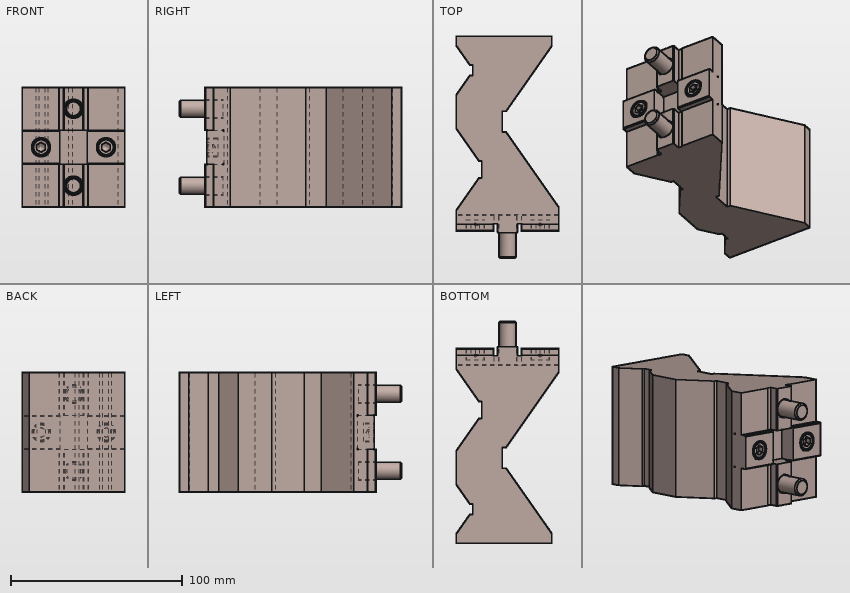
import cadquery as cq
import math

WIDTH = 60.0
HEIGHT = 70.0
BODY_LENGTH = 115.0
FAR_END_X = 26.0
HALF_WIDTH = WIDTH / 2

V_HALF_ANGLE = 55.0
SMALL_V = {"center": 95.0, "half_opening": 14.4, "groove_half_width": 3.0, "depth": 9.6}
LARGE_V = {"center": 37.0, "half_opening": 23.9, "groove_half_width": 5.0, "depth": 15.0}
WIDE_V = {"center": 65.0, "half_opening": 50.0, "groove_half_width": 6.0, "depth": 33.0}

KEY_WIDTH = 12.0
KEY_HEIGHT = 5.0
KEY_CHAMFER = 0.5
RELIEF_HALF_WIDTH = 8.7
RELIEF_DEPTH = 0.4

SLOT_WIDTH = 20.0
SLOT_DEPTH = 6.0
BLOCK_TIP_Y = 1.0
BLOCK_INNER_X = 8.0
BLOCK_CHAMFER = 0.5
SLOT_FLOOR_Y = KEY_HEIGHT + SLOT_DEPTH

SCREW_X = 19.0
COUNTERBORE_DIAMETER = 11.0
COUNTERBORE_DEPTH = 6.5
HEAD_DIAMETER = 10.0
HEAD_CHAMFER = 0.6
SOCKET_FLATS = 5.0
SOCKET_DEPTH = 3.2
SOCKET_CONE_ANGLE = 120.0

PIN_DIAMETER = 10.0
PIN_LENGTH = 15.0
PIN_CHAMFER = 0.9
PIN_Z = 22.5
PIN_HOLE_DIAMETER = 11.0
PIN_HOLE_DEPTH = 10.4


def box(x_range, y_range, z_range):
    """Box spanning the given coordinate ranges."""
    sizes = [high - low for low, high in (x_range, y_range, z_range)]
    corner = (x_range[0], y_range[0], z_range[0])
    return cq.Workplane("XY").box(*sizes, centered=False).translate(corner)


def rod(diameter, x, z, y_start, y_end):
    """Cylinder along +Y."""
    return (
        cq.Workplane("XZ", origin=(x, y_start, z))
        .circle(diameter / 2)
        .extrude(y_start - y_end)
    )


def prism(points):
    """Full-height prism with the given XY outline."""
    return cq.Workplane("XY").polyline(points).close().extrude(HEIGHT / 2, both=True)


def v_notch(side, center, half_opening, groove_half_width, depth):
    """V notch cut into the +X (side = 1) or -X (side = -1) face."""
    wall_depth = (half_opening - groove_half_width) / math.tan(math.radians(V_HALF_ANGLE))
    face_x = side * HALF_WIDTH
    wall_x = side * (HALF_WIDTH - wall_depth)
    floor_x = side * (HALF_WIDTH - depth)
    return prism([
        (face_x, center - half_opening),
        (wall_x, center - groove_half_width),
        (floor_x, center - groove_half_width),
        (floor_x, center + groove_half_width),
        (wall_x, center + groove_half_width),
        (face_x, center + half_opening),
    ])


def make_body():
    z_range = (-HEIGHT / 2, HEIGHT / 2)
    body = box((-HALF_WIDTH, HALF_WIDTH), (KEY_HEIGHT, BODY_LENGTH), z_range)
    body = body.cut(v_notch(-1, **SMALL_V)).cut(v_notch(-1, **LARGE_V)).cut(v_notch(1, **WIDE_V))
    body = body.cut(box((FAR_END_X, HALF_WIDTH), (WIDE_V["center"], BODY_LENGTH), z_range))

    relief_floor_y = KEY_HEIGHT + RELIEF_DEPTH
    body = body.cut(prism([
        (-RELIEF_HALF_WIDTH, KEY_HEIGHT),
        (RELIEF_HALF_WIDTH, KEY_HEIGHT),
        (RELIEF_HALF_WIDTH - RELIEF_DEPTH, relief_floor_y),
        (-RELIEF_HALF_WIDTH + RELIEF_DEPTH, relief_floor_y),
    ]))
    key = box((-KEY_WIDTH / 2, KEY_WIDTH / 2), (0, relief_floor_y), z_range)
    body = body.union(key.faces("<Y").edges("|Z").chamfer(KEY_CHAMFER))

    for z in (-PIN_Z, PIN_Z):
        body = body.cut(rod(PIN_HOLE_DIAMETER, 0, z, 0, PIN_HOLE_DEPTH))
    slot_z = (-SLOT_WIDTH / 2, SLOT_WIDTH / 2)
    return body.cut(box((-HALF_WIDTH, HALF_WIDTH), (0, SLOT_FLOOR_Y), slot_z))


def make_socket(x):
    """Hexagonal socket with two corners on the Z axis and a conical bottom."""
    corner_radius = SOCKET_FLATS / 2 / math.cos(math.radians(30))
    cone_depth = corner_radius / math.tan(math.radians(SOCKET_CONE_ANGLE / 2))
    straight_end_y = BLOCK_TIP_Y + SOCKET_DEPTH
    corners = [
        (x + corner_radius * math.sin(math.radians(angle)), corner_radius * math.cos(math.radians(angle)))
        for angle in range(0, 360, 60)
    ]
    hexagon = (
        cq.Workplane("XZ", origin=(0, BLOCK_TIP_Y, 0))
        .polyline(corners)
        .close()
        .extrude(-SOCKET_DEPTH - cone_depth)
    )
    drill_profile = [
        (x, BLOCK_TIP_Y),
        (x + corner_radius, BLOCK_TIP_Y),
        (x + corner_radius, straight_end_y),
        (x, straight_end_y + cone_depth),
    ]
    drill = (
        cq.Workplane("XY")
        .polyline(drill_profile)
        .close()
        .revolve(360, (x, 0, 0), (x, 1, 0))
    )
    return hexagon.intersect(drill)


def make_block(side):
    """Slot block on one side of the key, with its screw head in the counterbore."""
    x_range = sorted((side * BLOCK_INNER_X, side * HALF_WIDTH))
    block = box(x_range, (BLOCK_TIP_Y, SLOT_FLOOR_Y), (-SLOT_WIDTH / 2, SLOT_WIDTH / 2))
    block = block.edges("|X").chamfer(BLOCK_CHAMFER)

    screw_x = side * SCREW_X
    head_base_y = BLOCK_TIP_Y + COUNTERBORE_DEPTH
    head = rod(HEAD_DIAMETER, screw_x, 0, BLOCK_TIP_Y, head_base_y)
    head = head.faces("<Y").chamfer(HEAD_CHAMFER)
    socket = make_socket(screw_x)
    counterbore = rod(COUNTERBORE_DIAMETER, screw_x, 0, BLOCK_TIP_Y, head_base_y)
    return block.cut(counterbore).union(head.cut(socket))


def make_pin(z):
    """Chamfered pin rising from the floor of its clearance hole."""
    pin = rod(PIN_DIAMETER, 0, z, -PIN_LENGTH, PIN_HOLE_DEPTH)
    return pin.faces("<Y").chamfer(PIN_CHAMFER)


result = make_body()
for block_side in (-1, 1):
    result = result.union(make_block(block_side))
for pin_z in (-PIN_Z, PIN_Z):
    result = result.union(make_pin(pin_z))